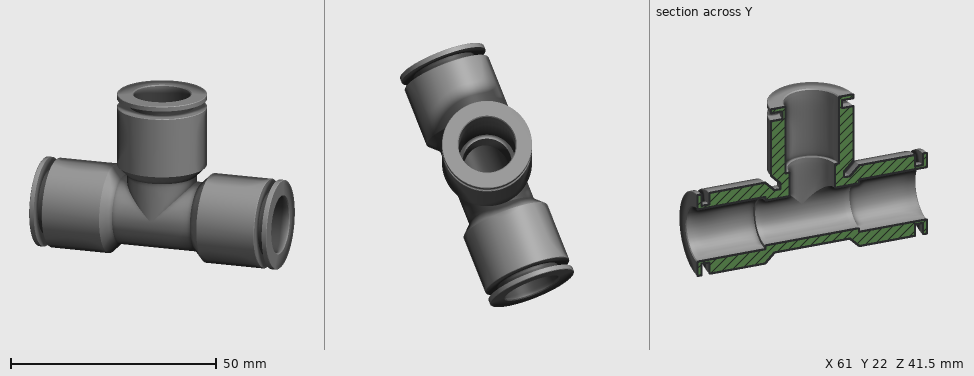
import cadquery as cq

port_reach = 30.5
collar_thickness = 1.2
collar_gap = 2.0
socket_length = 14.8

socket_diameter = 22.0
core_diameter = 17.0
collar_neck_diameter = 15.8
tube_bore_diameter = 14.0
flow_bore_diameter = 12.0

mouth_chamfer = 0.25
edge_chamfer = 0.125

socket_radius = socket_diameter / 2
core_radius = core_diameter / 2
neck_radius = collar_neck_diameter / 2
tube_radius = tube_bore_diameter / 2
flow_radius = flow_bore_diameter / 2

collar_back = port_reach - collar_thickness
socket_rim = collar_back - collar_gap
socket_base = socket_rim - socket_length
taper_base = socket_base - (socket_radius - core_radius)
tube_stop = socket_base

outer_outline = [
    (core_radius, taper_base),
    (socket_radius, socket_base),
    (socket_radius, socket_rim - edge_chamfer),
    (socket_radius - edge_chamfer, socket_rim),
    (neck_radius, socket_rim),
    (neck_radius, collar_back),
    (socket_radius, collar_back),
    (socket_radius, port_reach - edge_chamfer),
    (socket_radius - edge_chamfer, port_reach),
]
bore_outline = [
    (flow_radius, tube_stop),
    (tube_radius, tube_stop),
    (tube_radius, port_reach - mouth_chamfer),
    (tube_radius + mouth_chamfer, port_reach),
]


def make_run(outline):
    """Turn an outline, mirrored to both sides of the centre, about the X axis."""
    right_half = [(distance, radius) for radius, distance in outline]
    left_half = [(-distance, radius) for distance, radius in reversed(right_half)]
    profile = [(-port_reach, 0)] + left_half + right_half + [(port_reach, 0)]
    return cq.Workplane("XZ").polyline(profile).close().revolve(360, (0, 0), (1, 0))


def make_branch(outline):
    """Turn an outline about the Z axis and mitre its foot to meet the run."""
    foot_radius = outline[0][0]
    profile = [(0, 0), (foot_radius, 0)] + outline + [(0, port_reach)]
    turned = cq.Workplane("XZ").polyline(profile).close().revolve(360, (0, 0), (0, 1))
    return turned.intersect(make_mitre_wedge())


def make_mitre_wedge():
    """Wedge above the two 45 degree planes where the equal cylinders meet."""
    corners = [(0, 0), (port_reach, port_reach), (-port_reach, port_reach)]
    return cq.Workplane("XZ").polyline(corners).close().extrude(port_reach, both=True)


def make_tee(outline):
    """Join the run, notched for the branch, to the mitred branch."""
    return make_run(outline).cut(make_mitre_wedge()).union(make_branch(outline))


result = make_tee(outer_outline).cut(make_tee(bore_outline))